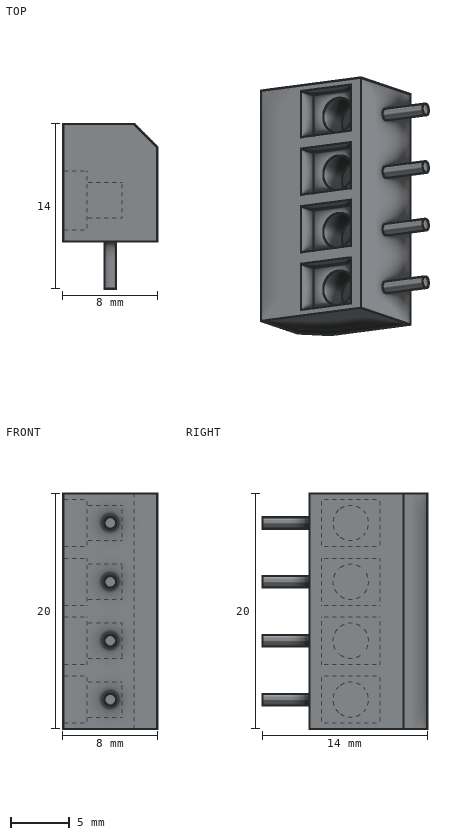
import cadquery as cq

pole_count = 4
pitch = 5.0

body_width = 8.0
body_depth = 10.0
body_height = pole_count * pitch
chamfer = 2.0

pin_diameter = 1.0
pin_length = 4.0
pin_x = body_width / 2

pocket_width = 5.0
pocket_height = 4.0
pocket_depth = 2.0
pocket_front_wall = 1.0
pocket_y = pocket_front_wall + pocket_width / 2
hole_diameter = 3.0
hole_depth = 3.0


def make_housing():
    """Block with its front face on Y = 0 and the back +X edge chamfered."""
    block = cq.Workplane("XY").box(body_width, body_depth, body_height, centered=False)
    return block.edges("|Z and >X and >Y").chamfer(chamfer)


def make_pin(z):
    """Round pin standing out of the front face."""
    front = cq.Workplane("XZ", origin=(pin_x, 0, z))
    return front.circle(pin_diameter / 2).extrude(pin_length)


def make_wire_entry(z):
    """Material removed from the -X face for one wire."""
    face = cq.Workplane("YZ", origin=(0, pocket_y, z))
    pocket = face.rect(pocket_width, pocket_height).extrude(pocket_depth)
    hole = face.circle(hole_diameter / 2).extrude(pocket_depth + hole_depth)
    return pocket.union(hole)


result = make_housing()
for pole in range(pole_count):
    pole_z = (pole + 0.5) * pitch
    result = result.cut(make_wire_entry(pole_z)).union(make_pin(pole_z))